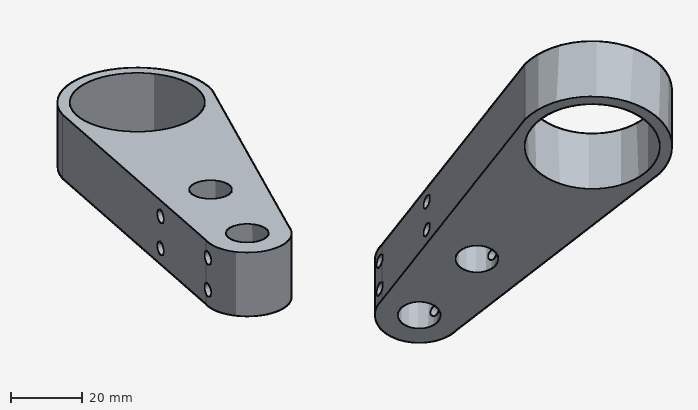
import cadquery as cq
import math

length = 125.0
thickness = 20.0
large_radius = 22.5
small_radius = 12.5
ring_bore_diameter = 38.0
pin_bore_diameter = 12.0
pin_spacing = 30.0
screw_diameter = 4.0
screw_heights = (thickness / 4, thickness * 3 / 4)

center_distance = length - large_radius - small_radius
pin_positions = (center_distance - pin_spacing, center_distance)

end_radius_difference = large_radius - small_radius
side_length = math.hypot(center_distance, end_radius_difference)
normal_x = end_radius_difference / side_length
normal_y = center_distance / side_length


def make_body():
    """Two half-round ends joined by straight sides."""
    small_tip = (center_distance + small_radius, 0)
    large_tip = (-large_radius, 0)
    return (
        cq.Workplane("XY")
        .moveTo(0, -large_radius)
        .lineTo(center_distance, -small_radius)
        .threePointArc(small_tip, (center_distance, small_radius))
        .lineTo(0, large_radius)
        .threePointArc(large_tip, (0, -large_radius))
        .close()
        .extrude(thickness)
    )


def make_bore(x, diameter):
    """Vertical through bore on the centre line."""
    return cq.Workplane("XY").center(x, 0).circle(diameter / 2).extrude(thickness)


def make_screw_hole(x, z, side):
    """Hole from a pin bore axis out through one tapered side, square to it."""
    start = cq.Vector(x, 0, z)
    outward = cq.Vector(normal_x, side * normal_y, 0)
    return cq.Solid.makeCylinder(screw_diameter / 2, large_radius, start, outward)


result = make_body().cut(make_bore(0, ring_bore_diameter))
for pin_x in pin_positions:
    result = result.cut(make_bore(pin_x, pin_bore_diameter))
    for screw_z in screw_heights:
        for side in (-1, 1):
            result = result.cut(make_screw_hole(pin_x, screw_z, side))